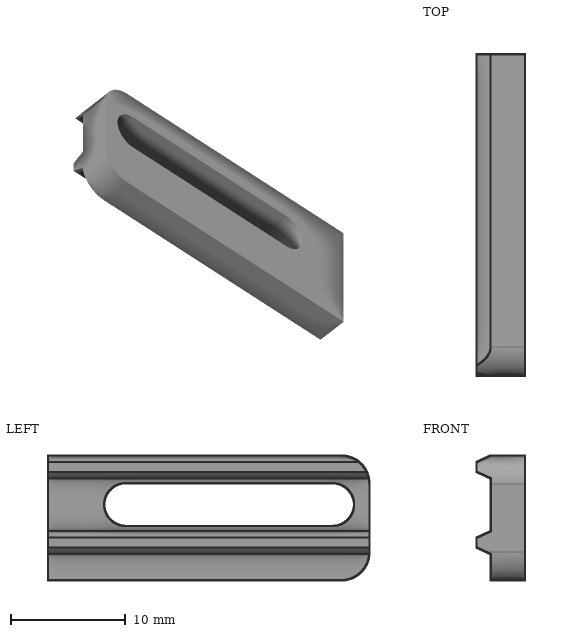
import cadquery as cq
import math

plate_thickness = 3.0
plate_length = 28.0
plate_height = 10.89
corner_radius = 2.5

rail_depth = 1.23
rail_tip_width = 0.86
rail_flank_angle = 25.0
rail_pitch = 6.59

slot_width = 3.7
slot_length = 21.73
slot_end_gap = 1.36
slot_center_below_top = 4.28

flank_rise = rail_depth * math.tan(math.radians(rail_flank_angle))
rail_root_width = rail_tip_width + 2 * flank_rise
upper_rail_center = plate_height - rail_root_width / 2
rail_centers = [upper_rail_center, upper_rail_center - rail_pitch]
total_thickness = plate_thickness + rail_depth


def make_plate():
    """Plain plate with its mounting face on X = 0 and its front end on Y = 0."""
    return cq.Workplane("XY").box(
        plate_thickness, plate_length, plate_height, centered=False
    )


def make_rail(center_z):
    """Trapezoidal rail standing on the X = 0 face."""
    half_root = rail_root_width / 2
    half_tip = rail_tip_width / 2
    profile = [
        (0, center_z - half_root),
        (-rail_depth, center_z - half_tip),
        (-rail_depth, center_z + half_tip),
        (0, center_z + half_root),
    ]
    return cq.Workplane("XZ").polyline(profile).close().extrude(-plate_length)


def make_envelope():
    """Block whose two front corners are rounded, trimming plate and rails alike."""
    block = cq.Workplane("XY").box(
        total_thickness, plate_length, plate_height, centered=False
    )
    rounded = block.edges("|X and <Y").fillet(corner_radius)
    return rounded.translate((-rail_depth, 0, 0))


def make_slot():
    """Obround cutter along Y, passing through the plate thickness."""
    center_y = slot_end_gap + slot_length / 2
    center_z = plate_height - slot_center_below_top
    return (
        cq.Workplane("YZ")
        .center(center_y, center_z)
        .slot2D(slot_length, slot_width)
        .extrude(plate_thickness)
    )


body = make_plate()
for rail_center in rail_centers:
    body = body.union(make_rail(rail_center))

result = body.intersect(make_envelope()).cut(make_slot())